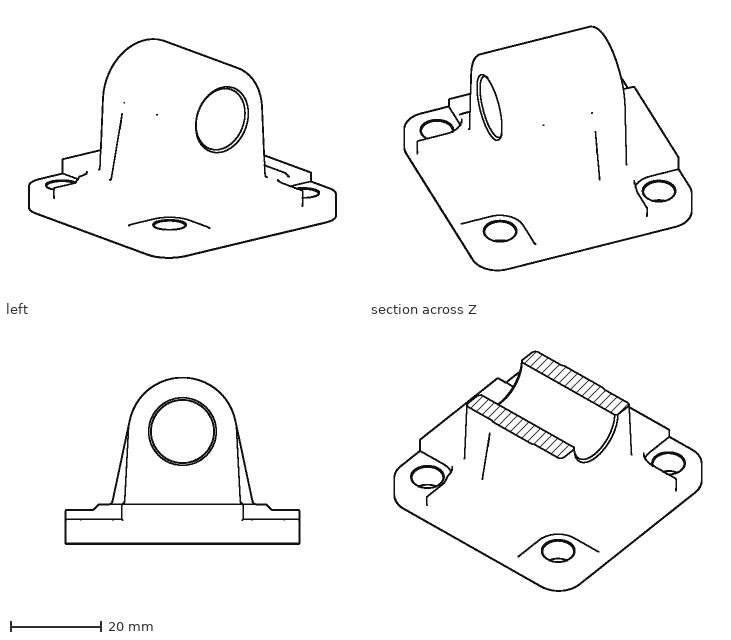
import cadquery as cq
import math

plate_side = 52
plate_height = 8.85
plate_corner_radius = 6.0
plate_bottom_chamfer = 0.15
edge_radius = 0.3

hole_pitch = 38.0
hole_diameter = 6.95
hole_rim_chamfer = 0.2
rim_taper = 45
pad_radius = 5.5
pad_height = 5.5

strip_height = 7.6
strip_slope_start = 18.6

body_length = 28.0
body_radius = 12.0
bore_height = 25.0
bore_diameter = 14.0
bore_chamfer = 0.5
body_draft = 3
body_end_radius = 1.05
foot_radius = 0.85

rib_width = 13
rib_draft = 12
rib_edge_radius = 1.0
rib_root_radius = 0.6
rib_root_top = 26.5

tolerance = 0.005


def arch_profile(draft, length, foot_height):
    """Round top with tangent sides leaning out by draft degrees, extruded along X about the middle."""
    lean = math.radians(draft)
    tangent_y = body_radius * math.cos(lean)
    tangent_z = bore_height + body_radius * math.sin(lean)
    foot_y = tangent_y + (tangent_z - foot_height) * math.tan(lean)
    return (
        cq.Workplane("YZ")
        .moveTo(-foot_y, foot_height)
        .lineTo(-tangent_y, tangent_z)
        .threePointArc((0, bore_height + body_radius), (tangent_y, tangent_z))
        .lineTo(foot_y, foot_height)
        .close()
        .extrude(length / 2, both=True)
    )


def at_holes(height):
    """Workplane at the given height with a point at each of the four screw holes."""
    return (
        cq.Workplane("XY", origin=(0, 0, height))
        .rect(hole_pitch, hole_pitch, forConstruction=True)
        .vertices()
    )


def strip_cutter(side):
    """Removes the plate above the strip on the given side of Y, and above its slope."""
    slope_end = strip_slope_start + plate_height - strip_height
    return (
        cq.Workplane("YZ")
        .polyline([
            (side * strip_slope_start, plate_height),
            (side * slope_end, strip_height),
            (side * plate_side, strip_height),
            (side * plate_side, plate_height),
        ])
        .close()
        .extrude(plate_side / 2, both=True)
    )


def pad_cutters():
    """Square blocks reaching past the plate corners, rounded about the holes."""
    block_side = plate_side / 2
    block_centre = hole_pitch / 2 - pad_radius + block_side / 2
    return (
        cq.Workplane("XY", origin=(0, 0, pad_height))
        .rect(2 * block_centre, 2 * block_centre, forConstruction=True)
        .vertices()
        .rect(block_side, block_side)
        .extrude(plate_height)
        .edges("|Z")
        .fillet(pad_radius)
    )


def round_plate_edges(plate):
    """Round the edges above the pad floors and the outline of the sides, and chamfer the underside."""
    raised_edges = plate.edges().filter(lambda edge: edge.BoundingBox().zmin > pad_height + edge_radius)
    side_edges = (
        plate.faces("<X or >X or <Y or >Y")
        .edges()
        .filter(lambda edge: edge.BoundingBox().zmin > edge_radius)
    )
    plate = raised_edges.add(side_edges).fillet(edge_radius)
    return plate.faces("<Z").edges().chamfer(plate_bottom_chamfer)


def make_plate():
    plate = cq.Workplane("XY").rect(plate_side, plate_side).extrude(plate_height)
    plate = plate.edges("|Z").fillet(plate_corner_radius)
    for side in (-1, 1):
        plate = plate.cut(strip_cutter(side))
    plate = round_plate_edges(plate.cut(pad_cutters()))

    hole_radius = hole_diameter / 2
    holes = at_holes(0).circle(hole_radius).extrude(plate_height)
    rims = (
        at_holes(pad_height)
        .circle(hole_radius + hole_rim_chamfer)
        .extrude(-hole_rim_chamfer, taper=rim_taper)
    )
    return plate.cut(holes).cut(rims)


def make_body():
    body = arch_profile(body_draft, body_length, pad_height)
    return body.faces("<X or >X").edges("not <Z").fillet(body_end_radius)


def make_ribs():
    ribs = arch_profile(rib_draft, rib_width, pad_height)
    return ribs.faces("<X or >X").edges("not <Z").fillet(rib_edge_radius)


def join_ribs(body, ribs):
    """Body with its ribs, the concave corners beside the ribs filleted up to rib_root_top."""
    rib_flat_half = rib_width / 2 - rib_edge_radius

    def is_rib_root(edge):
        middle = edge.positionAt(0.5)
        beside_flat = rib_flat_half + tolerance < abs(middle.x) < rib_width / 2 + tolerance
        below_top = middle.z < rib_root_top - tolerance
        on_body = body.val().distance(cq.Vertex.makeVertex(*middle.toTuple())) < tolerance
        return beside_flat and below_top and on_body

    joined = body.union(ribs)
    level = joined.copyWorkplane(cq.Workplane("XY", origin=(0, 0, rib_root_top)))
    upper = level.split(keepTop=True)
    lower = level.split(keepBottom=True)
    lower = lower.edges().filter(is_rib_root).fillet(rib_root_radius)
    return upper.union(lower)


def round_foot(part):
    """Fillet where the body and its ribs stand on the plate."""
    reach_x = body_length / 2 + edge_radius
    reach_y = strip_slope_start - foot_radius
    foot_zone = cq.selectors.BoxSelector(
        (-reach_x, -reach_y, plate_height - tolerance),
        (reach_x, reach_y, plate_height + tolerance),
    )
    return part.edges(foot_zone).fillet(foot_radius)


def cut_bore(part):
    """Bore along X through the body, flared at both ends by the chamfer."""
    radius = bore_diameter / 2
    end_x = body_length / 2
    bore = (
        cq.Workplane("XY", origin=(0, 0, bore_height))
        .polyline([
            (-end_x, 0),
            (-end_x, radius + bore_chamfer),
            (-end_x + bore_chamfer, radius),
            (end_x - bore_chamfer, radius),
            (end_x, radius + bore_chamfer),
            (end_x, 0),
        ])
        .close()
        .revolve(360, (0, 0), (1, 0))
    )
    return part.cut(bore)


result = make_plate().union(join_ribs(make_body(), make_ribs()))
result = round_foot(result)
result = cut_bore(result)